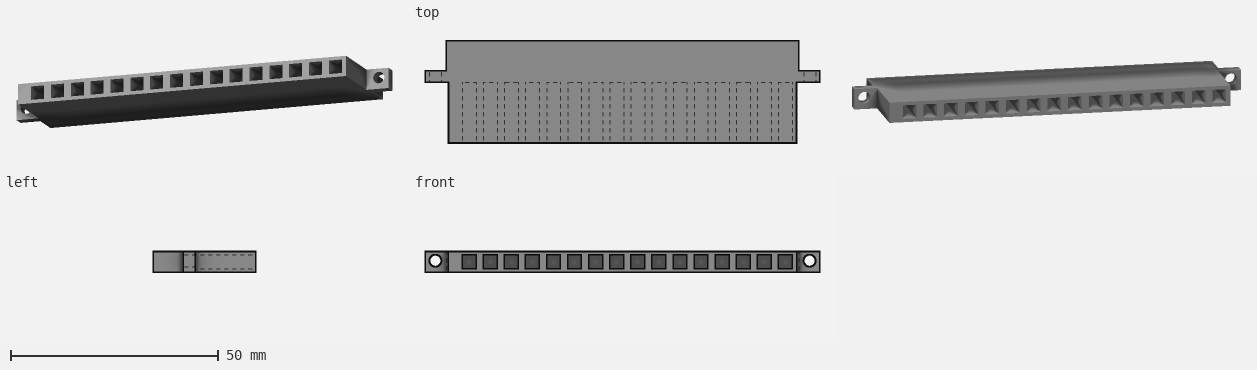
import cadquery as cq

overall_length = 94.9
depth = 24.7
height = 5.0

front_length = 83.7
rear_length = 84.8
rear_depth = 7.2

ear_thickness = 2.8
ear_hole_diameter = 2.8
ear_hole_spacing = 90.0
ear_hole_rise = 0.3

pocket_count = 16
pocket_row_span = 76.0
pocket_size = 3.3
pocket_row_offset = 1.1

pocket_pitch = pocket_row_span / (pocket_count - 1)
front_face_y = -depth / 2
rear_face_y = depth / 2
ear_back_y = rear_face_y - rear_depth
ear_front_y = ear_back_y - ear_thickness
pocket_depth = ear_front_y - front_face_y


def slab(length, y_start, y_end):
    """Full-height block centred on X and Z, between two Y positions."""
    return cq.Workplane("XY").box(length, y_end - y_start, height).translate((0, (y_start + y_end) / 2, 0))


def ear_holes():
    """Two bores running front to back through the ears."""
    return (
        cq.Workplane("XZ", origin=(0, ear_back_y, ear_hole_rise))
        .pushPoints([(-ear_hole_spacing / 2, 0), (ear_hole_spacing / 2, 0)])
        .circle(ear_hole_diameter / 2)
        .extrude(ear_thickness)
    )


def pockets():
    """Evenly spaced square pockets running back from the front face."""
    return (
        cq.Workplane("XZ", origin=(pocket_row_offset, front_face_y, 0))
        .rarray(pocket_pitch, 0.95, pocket_count, 1)
        .rect(pocket_size, pocket_size)
        .extrude(-pocket_depth)
    )


housing = (
    slab(front_length, front_face_y, ear_front_y)
    .union(slab(overall_length, ear_front_y, ear_back_y))
    .union(slab(rear_length, ear_back_y, rear_face_y))
)

result = housing.cut(ear_holes()).cut(pockets())